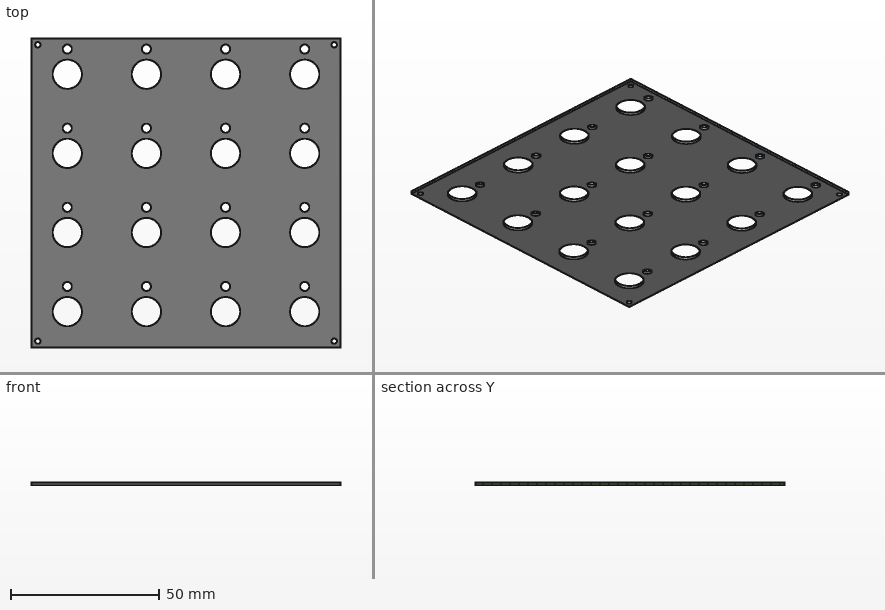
import cadquery as cq

plate_side = 104.35
plate_thickness = 1.0

grid_count = 4
grid_pitch = 26.7
opening_diameter = 9.8
small_hole_diameter = 3.0
small_hole_offset = 8.5

mounting_hole_diameter = 1.75
mounting_hole_spacing = 100.0


def make_plate():
    """Square plate centred on the origin in X and Y, resting on Z = 0."""
    return cq.Workplane("XY").box(
        plate_side, plate_side, plate_thickness, centered=(True, True, False)
    )


def cut_hole_grid(plate, pitch, count, diameter, y_offset=0.0):
    """Cut a square grid of through holes, shifted along Y by y_offset."""
    return (
        plate.faces(">Z")
        .workplane(origin=(0, y_offset, 0))
        .rarray(pitch, pitch, count, count)
        .hole(diameter)
    )


result = make_plate()
result = cut_hole_grid(result, grid_pitch, grid_count, opening_diameter)
result = cut_hole_grid(result, grid_pitch, grid_count, small_hole_diameter, small_hole_offset)
result = cut_hole_grid(result, mounting_hole_spacing, 2, mounting_hole_diameter)